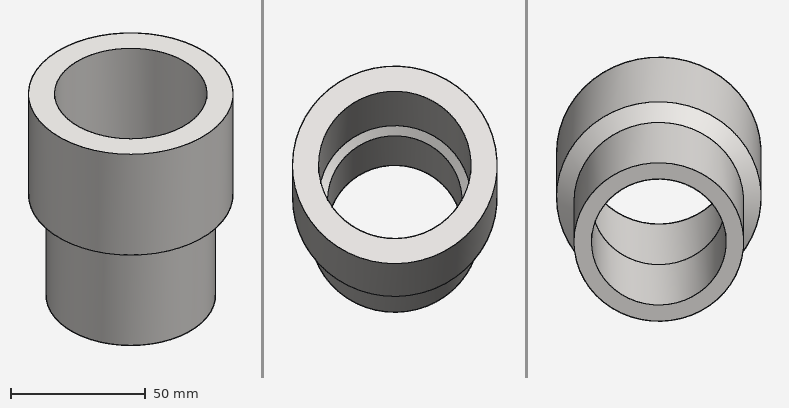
import cadquery as cq

total_height = 93.0
spigot_height = 42.0
outer_cone_height = 4.5

socket_radius = 76.0 / 2
spigot_radius = 63.0 / 2
socket_bore_radius = 56.6 / 2
spigot_bore_radius = 50.0 / 2

cone_slope = outer_cone_height / (socket_radius - spigot_radius)


def stepped_body(lower_radius, upper_radius):
    """Solid of revolution: lower cylinder, cone, then upper cylinder."""
    cone_top = spigot_height + cone_slope * (upper_radius - lower_radius)
    return (
        cq.Workplane("XZ")
        .lineTo(lower_radius, 0)
        .lineTo(lower_radius, spigot_height)
        .lineTo(upper_radius, cone_top)
        .lineTo(upper_radius, total_height)
        .lineTo(0, total_height)
        .close()
        .revolve(360, (0, 0, 0), (0, 1, 0))
    )


outer_body = stepped_body(spigot_radius, socket_radius)
bore = stepped_body(spigot_bore_radius, socket_bore_radius)

result = outer_body.cut(bore)